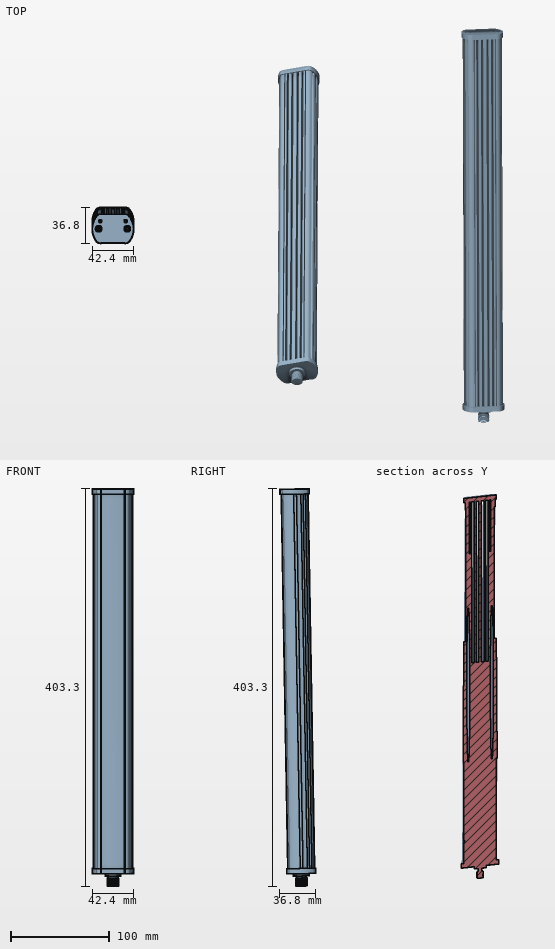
import cadquery as cq
import math

LEAN_ANGLE = 1.0

HOUSING_LENGTH = 390.5
CAP_THICKNESS = 5.2
BODY_LENGTH = HOUSING_LENGTH - 2 * CAP_THICKNESS

CAP_RADIUS = 21.18
CAP_HALF_DEPTH = 15.0
CORNER_START = 12.5

WINDOW_HALF_WIDTH = 11.5
CAP_WINDOW_DEPTH = 0.5
BODY_WINDOW_DEPTH = 1.0
BODY_WINDOW_BULGE = 1.0

BODY_INSET = 1.2
BODY_RADIUS = CAP_RADIUS - BODY_INSET
BODY_HALF_DEPTH = CAP_HALF_DEPTH - BODY_INSET

BACK_SLOTS = [(3.0, 2.5, 5.5), (7.5, 2.5, 5.5), (11.0, 1.2, 3.5)]

SIDE_GROOVES = [(0.5, 3.0, 0.5), (4.0, 4.5, 1.5), (9.5, 2.5, 1.5)]

SCREW_X = 14.5
SCREW_HEAD_DIAMETER = 4.5
SCREW_RECESS_DIAMETER = 6.5
SCREW_RECESS_DEPTH = 1.5
SOCKET_DIAMETER = 2.5
PORT_X = 13.0
PORT_Y = 7.5
PORT_DIAMETER = 3.0

FLANGE_DIAMETER = 16.0
FLANGE_HEIGHT = 2.5
NECK_DIAMETER = 9.5
NECK_HEIGHT = 2.0
THREAD_DIAMETER = 11.5
THREAD_ROOT_DIAMETER = 10.5
THREAD_PITCH = 1.15
THREAD_TURNS = 7


def rounded_outline(radius, half_depth, window_depth, window_bulge):
    """Closed outline of a circle with two flats, tangent corner arcs and a window in the front flat."""
    corner_radius = (radius**2 - half_depth**2 - CORNER_START**2) / (2 * (radius - half_depth))
    corner_y = half_depth - corner_radius
    turn = math.atan2(CORNER_START, corner_y)
    join_x = radius * math.sin(turn)
    join_y = radius * math.cos(turn)
    middle_x = CORNER_START + corner_radius * math.sin(turn / 2)
    middle_y = corner_y + corner_radius * math.cos(turn / 2)
    window_y = window_depth - half_depth

    outline = (
        cq.Workplane("XY")
        .moveTo(-CORNER_START, -half_depth)
        .lineTo(-WINDOW_HALF_WIDTH, window_y)
    )
    if window_bulge:
        outline = outline.threePointArc((0, window_y - window_bulge), (WINDOW_HALF_WIDTH, window_y))
    else:
        outline = outline.lineTo(WINDOW_HALF_WIDTH, window_y)
    return (
        outline.lineTo(CORNER_START, -half_depth)
        .threePointArc((middle_x, -middle_y), (join_x, -join_y))
        .threePointArc((radius, 0), (join_x, join_y))
        .threePointArc((middle_x, middle_y), (CORNER_START, half_depth))
        .lineTo(-CORNER_START, half_depth)
        .threePointArc((-middle_x, middle_y), (-join_x, join_y))
        .threePointArc((-radius, 0), (-join_x, -join_y))
        .threePointArc((-middle_x, -middle_y), (-CORNER_START, -half_depth))
        .close()
    )


def cap(bottom_z):
    outline = rounded_outline(CAP_RADIUS, CAP_HALF_DEPTH, CAP_WINDOW_DEPTH, 0)
    return outline.extrude(CAP_THICKNESS).translate((0, 0, bottom_z))


def body_slot(x_size, y_size, x, y):
    """Cutter for a straight slot along the whole body, centred on (x, y)."""
    return cq.Workplane("XY").center(x, y).rect(x_size, y_size).extrude(BODY_LENGTH)


def body():
    outline = rounded_outline(BODY_RADIUS, BODY_HALF_DEPTH, BODY_WINDOW_DEPTH, BODY_WINDOW_BULGE)
    shape = outline.extrude(BODY_LENGTH)
    for side in (-1, 1):
        for slot_x, width, depth in BACK_SLOTS:
            shape = shape.cut(body_slot(width, 2 * depth, side * slot_x, BODY_HALF_DEPTH))
        for groove_y, width, depth in SIDE_GROOVES:
            wall_x = math.sqrt(BODY_RADIUS**2 - groove_y**2)
            shape = shape.cut(body_slot(2 * depth, width, side * wall_x, groove_y))
    return shape.translate((0, 0, CAP_THICKNESS))


def screw_recesses():
    """Ring gaps around the flush screw heads, and the hexagon sockets inside them."""
    top = cq.Workplane("XY").workplane(offset=HOUSING_LENGTH).pushPoints([(-SCREW_X, 0), (SCREW_X, 0)])
    gaps = top.circle(SCREW_RECESS_DIAMETER / 2).circle(SCREW_HEAD_DIAMETER / 2).extrude(-SCREW_RECESS_DEPTH)
    sockets = top.polygon(6, SOCKET_DIAMETER).extrude(-SCREW_RECESS_DEPTH)
    return gaps.union(sockets)


def screw_ports():
    """Long holes through the top cap and the body, ending on the bottom cap."""
    return (
        cq.Workplane("XY")
        .workplane(offset=CAP_THICKNESS)
        .pushPoints([(-PORT_X, PORT_Y), (PORT_X, PORT_Y)])
        .circle(PORT_DIAMETER / 2)
        .extrude(HOUSING_LENGTH - CAP_THICKNESS)
    )


def connector():
    """Flange, neck and ridged barrel, turned about the bar's axis."""
    z = -FLANGE_HEIGHT
    profile = (
        cq.Workplane("XZ")
        .moveTo(0, 0)
        .lineTo(FLANGE_DIAMETER / 2, 0)
        .lineTo(FLANGE_DIAMETER / 2, z)
        .lineTo(NECK_DIAMETER / 2, z)
    )
    z -= NECK_HEIGHT
    profile = profile.lineTo(NECK_DIAMETER / 2, z).lineTo(THREAD_ROOT_DIAMETER / 2, z)
    for _ in range(THREAD_TURNS):
        profile = profile.lineTo(THREAD_DIAMETER / 2, z - THREAD_PITCH / 2)
        z -= THREAD_PITCH
        profile = profile.lineTo(THREAD_ROOT_DIAMETER / 2, z)
    return profile.lineTo(0, z).close().revolve(360, (0, 0, 0), (0, 1, 0))


result = body().union(cap(0)).union(cap(HOUSING_LENGTH - CAP_THICKNESS)).union(connector())
result = result.cut(screw_recesses()).cut(screw_ports())
result = result.rotate((0, 0, 0), (1, 0, 0), LEAN_ANGLE)